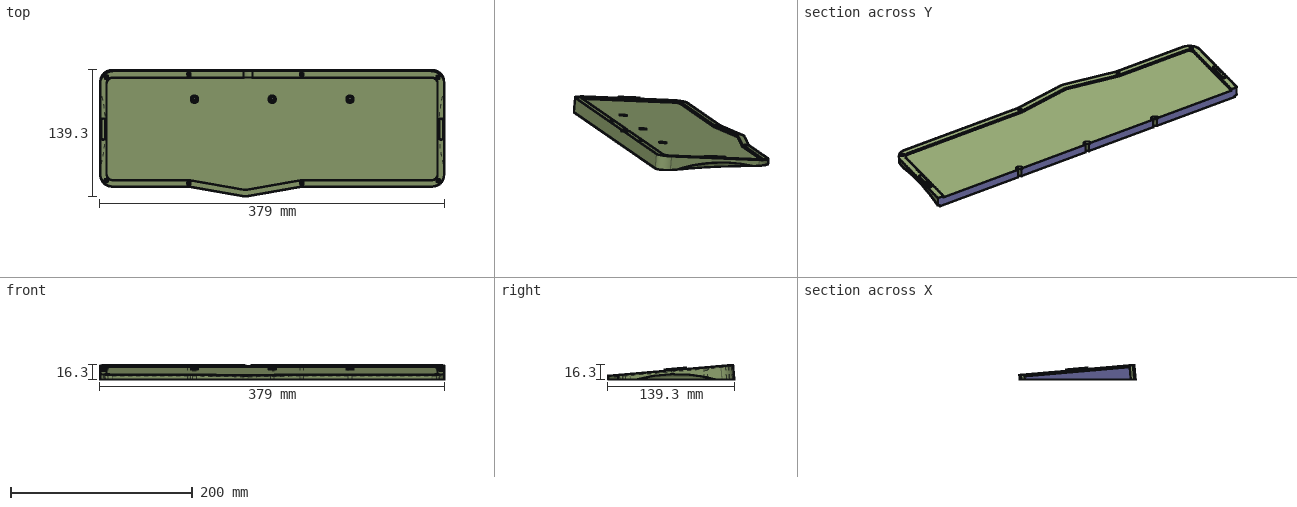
import cadquery as cq
import math

length = 379.0
rear_height = 16.3
tilt = 5.0
side_depth = 127.7
corner_radius = 13.5

point_x = -29.5
point_half_width = 62.0
point_drop = 11.0
point_radius = 16.3

rim_width = 7.2
recess_depth = 2.0

rim_hole_diameter = 3.5
corner_hole_inset = 7.0
edge_hole_inset = 3.8

floor_hole_diameter = 4.0
countersink_diameter = 8.0
countersink_angle = 90.0
floor_hole_pitch = 85.5
floor_hole_setback = 31.0

pad_length = 23.5
pad_width = 4.0
pad_height = 1.5
pad_inset = 3.5

notch_x = -26.5
notch_width = 10.0
notch_depth = 1.5

cove_half_span = 44.0
cove_height = 6.0
cove_y = -63.0

half_length = length / 2
body_depth = 2 * rear_height
countersink_depth = (countersink_diameter - floor_hole_diameter) / 2 / math.tan(
    math.radians(countersink_angle / 2)
)
point_angle = math.atan2(point_drop, point_half_width)


def sloped(depth=0.0):
    """Workplane parallel to the sloping top, the given depth below it."""
    top = cq.Workplane("XY", origin=(0, 0, rear_height)).transformed(rotate=(tilt, 0, 0))
    return top.workplane(offset=-depth)


def tilted(level_solid):
    """Move a solid built below the XY plane to its place below the sloping top."""
    return level_solid.rotate((0, 0, 0), (1, 0, 0), tilt).translate((0, 0, rear_height))


def tray_block(inset, depth):
    """Tray outline moved inwards by inset, reaching depth below the sloping top."""
    front = inset - side_depth
    half_width = point_half_width - inset * math.tan(point_angle / 2)
    tip = front - half_width * math.tan(point_angle)
    rectangle = (
        cq.Workplane("XY")
        .center(0, -side_depth / 2)
        .rect(length - 2 * inset, side_depth - 2 * inset)
        .extrude(-depth)
        .edges("|Z")
        .fillet(corner_radius - inset)
    )
    point = (
        cq.Workplane("XY")
        .moveTo(point_x - half_width, front)
        .lineTo(point_x, tip)
        .lineTo(point_x + half_width, front)
        .close()
        .extrude(-depth)
        .edges("|Z and <Y")
        .fillet(point_radius)
    )
    return tilted(rectangle.union(point))


def body():
    """Sloping block cut off flat at the bottom."""
    space_above_bottom = cq.Workplane("XY").rect(2 * length, 2 * length).extrude(body_depth)
    return tray_block(0, body_depth).intersect(space_above_bottom)


def rim_holes():
    """Through holes in the four corners and beside the front point."""
    corner_x = half_length - corner_hole_inset
    corners = [
        (x, y)
        for x in (-corner_x, corner_x)
        for y in (-corner_hole_inset, corner_hole_inset - side_depth)
    ]
    edges = [
        (x, y)
        for x in (point_x - point_half_width, point_x + point_half_width)
        for y in (-edge_hole_inset, edge_hole_inset - side_depth)
    ]
    return sloped().pushPoints(corners + edges).circle(rim_hole_diameter / 2).extrude(-body_depth)


def floor_holes():
    """Three countersunk through holes in a row across the recess floor."""
    points = [(i * floor_hole_pitch, -floor_hole_setback) for i in (-1, 0, 1)]
    floor = sloped(recess_depth).pushPoints(points)
    bores = floor.circle(floor_hole_diameter / 2).extrude(-body_depth)
    countersinks = floor.circle(countersink_diameter / 2).extrude(
        -countersink_depth, taper=countersink_angle / 2
    )
    return bores.union(countersinks)


def pads():
    """Raised pads half way along the two side rims."""
    pad_x = half_length - pad_inset
    return (
        sloped(recess_depth)
        .pushPoints([(-pad_x, -side_depth / 2), (pad_x, -side_depth / 2)])
        .slot2D(pad_length, pad_width, 90)
        .extrude(recess_depth + pad_height)
    )


def cable_notch():
    """Round-bottomed notch through the rear rim, shallower than the recess."""
    notch = (
        cq.Workplane("XZ")
        .moveTo(notch_x - notch_width / 2, 0)
        .threePointArc((notch_x, -notch_depth), (notch_x + notch_width / 2, 0))
        .close()
        .extrude(rim_width)
    )
    return tilted(notch)


def finger_coves():
    """Spindle-shaped coves: a shallow arc turned about the bottom edge of each side."""
    coves = cq.Workplane("XY")
    for x in (-half_length, half_length):
        spindle = (
            cq.Workplane("XY", origin=(x, cove_y, 0))
            .moveTo(0, -cove_half_span)
            .threePointArc((cove_height, 0), (0, cove_half_span))
            .close()
            .revolve(360, (0, 0, 0), (0, 1, 0))
        )
        coves = coves.add(spindle)
    return coves.combine()


result = (
    body()
    .cut(tray_block(rim_width, recess_depth))
    .cut(cable_notch())
    .cut(rim_holes())
    .cut(floor_holes())
    .cut(finger_coves())
    .union(pads())
)